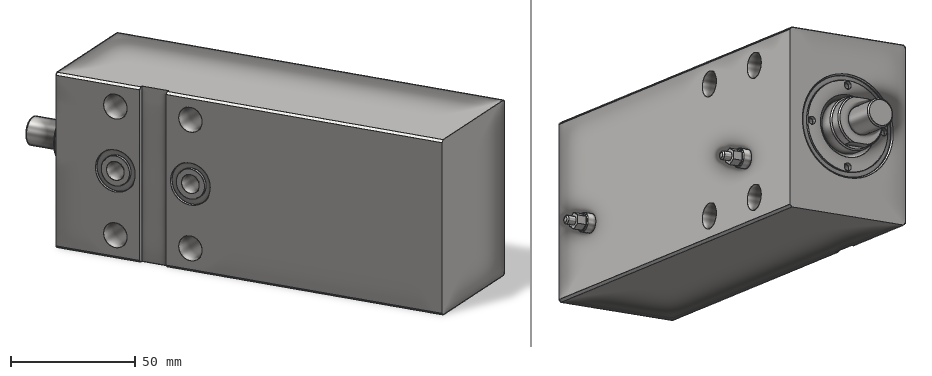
import cadquery as cq
import math


HOUSING_LENGTH = 175.0
HOUSING_DEPTH = 55.0
HOUSING_HEIGHT = 75.0
EDGE_CHAMFER = 1.0
MOUNT_FACE_Y = -HOUSING_DEPTH / 2
SENSOR_FACE_Y = HOUSING_DEPTH / 2

SLOT_CENTER_X = 44.0
SLOT_WIDTH = 12.0
SLOT_DEPTH = 2.0
COLUMN_SPACING = 34.0
BOLT_SPACING_Z = 55.0
BOLT_HOLE_DIAMETER = 10.5
COLUMNS_X = [SLOT_CENTER_X - COLUMN_SPACING / 2, SLOT_CENTER_X + COLUMN_SPACING / 2]

PORT_DIAMETER = 8.0
PORT_DEPTH = 12.0
SEAL_GROOVE_OUTER_DIAMETER = 18.0
SEAL_GROOVE_INNER_DIAMETER = 12.8
SEAL_GROOVE_DEPTH = 1.5

GLAND_RADIUS = 21.0
GLAND_LENGTH = 20.0
GLAND_FACE_RADIUS = 19.0
GLAND_STEP_DEPTH = 1.0
GLAND_SEAT_CHAMFER = 0.5
ROD_LEAD_IN = 1.8
SPANNER_HOLE_COUNT = 4
SPANNER_HOLE_DIAMETER = 3.2
SPANNER_HOLE_DEPTH = 2.0
SPANNER_HOLE_RADIUS = 17.0
DRILL_TIP_ANGLE = 118.0

ROD_RADIUS = 11.2
ROD_SHOULDER_X = -5.0
NECK_RADIUS = 10.5
NECK_END_X = -10.0
NECK_CHAMFER = 0.5
WRENCH_WIDTH = 19.0
STUD_RADIUS = 6.0
STUD_END_X = -25.0
STUD_CHAMFER = 0.5

SENSORS_X = [33.0, 151.0]
SENSOR_Z = -10.2
SENSOR_SECTION_LENGTH = 4.0
SENSOR_BASE_DIAMETER = 8.0
SENSOR_BASE_CHAMFER = 0.5
SENSOR_HEX_WIDTH = 6.0
HEX_SIDES = 6
SENSOR_TIP_DIAMETER = 3.5
SENSOR_TIP_CHAMFER = 0.5


def revolve_about_rod_axis(profile):
    """Turn a closed (x, radius) profile about the X axis."""
    return cq.Workplane("XZ").polyline(profile).close().revolve(360, (0, 0, 0), (1, 0, 0))


def mounting_face_plane():
    """Workplane on the mounting face: local X is X, local Y is Z, negative depths go into the block."""
    return cq.Workplane(cq.Plane((0, MOUNT_FACE_Y, 0), xDir=(1, 0, 0), normal=(0, -1, 0)))


def make_housing():
    block = (
        cq.Workplane("XY")
        .box(HOUSING_LENGTH, HOUSING_DEPTH, HOUSING_HEIGHT)
        .edges("|X")
        .chamfer(EDGE_CHAMFER)
        .translate((HOUSING_LENGTH / 2, 0, 0))
    )

    slot = (
        mounting_face_plane()
        .center(SLOT_CENTER_X, 0)
        .rect(SLOT_WIDTH, HOUSING_HEIGHT)
        .extrude(-SLOT_DEPTH)
    )

    bolt_points = [(x, side * BOLT_SPACING_Z / 2) for x in COLUMNS_X for side in (-1, 1)]
    bolt_holes = (
        mounting_face_plane()
        .pushPoints(bolt_points)
        .circle(BOLT_HOLE_DIAMETER / 2)
        .extrude(-HOUSING_DEPTH)
    )

    port_points = [(x, 0) for x in COLUMNS_X]
    ports = mounting_face_plane().pushPoints(port_points).circle(PORT_DIAMETER / 2).extrude(-PORT_DEPTH)
    seal_grooves = (
        mounting_face_plane()
        .pushPoints(port_points)
        .circle(SEAL_GROOVE_OUTER_DIAMETER / 2)
        .circle(SEAL_GROOVE_INNER_DIAMETER / 2)
        .extrude(-SEAL_GROOVE_DEPTH)
    )

    gland_seat = revolve_about_rod_axis(
        [
            (0, 0),
            (0, GLAND_RADIUS + GLAND_SEAT_CHAMFER),
            (GLAND_SEAT_CHAMFER, GLAND_RADIUS),
            (GLAND_LENGTH, GLAND_RADIUS),
            (GLAND_LENGTH, 0),
        ]
    )
    return block.cut(slot).cut(bolt_holes).cut(ports).cut(seal_grooves).cut(gland_seat)


def make_spanner_hole():
    """Drilled hole with a conical bottom, straight above the rod axis."""
    hole_radius = SPANNER_HOLE_DIAMETER / 2
    tip_x = SPANNER_HOLE_DEPTH + hole_radius / math.tan(math.radians(DRILL_TIP_ANGLE / 2))
    profile = [(0, 0), (0, hole_radius), (SPANNER_HOLE_DEPTH, hole_radius), (tip_x, 0)]
    return revolve_about_rod_axis(profile).translate((0, 0, SPANNER_HOLE_RADIUS))


def make_gland():
    gland = revolve_about_rod_axis(
        [
            (0, ROD_RADIUS + ROD_LEAD_IN),
            (0, GLAND_FACE_RADIUS),
            (GLAND_STEP_DEPTH, GLAND_FACE_RADIUS),
            (GLAND_STEP_DEPTH, GLAND_RADIUS),
            (GLAND_LENGTH, GLAND_RADIUS),
            (GLAND_LENGTH, ROD_RADIUS),
            (ROD_LEAD_IN, ROD_RADIUS),
        ]
    )
    for index in range(SPANNER_HOLE_COUNT):
        angle = index * 360 / SPANNER_HOLE_COUNT
        gland = gland.cut(make_spanner_hole().rotate((0, 0, 0), (1, 0, 0), angle))
    return gland


def make_rod():
    shoulder_chamfer = ROD_RADIUS - NECK_RADIUS
    rod = revolve_about_rod_axis(
        [
            (GLAND_LENGTH, 0),
            (GLAND_LENGTH, ROD_RADIUS),
            (ROD_SHOULDER_X + shoulder_chamfer, ROD_RADIUS),
            (ROD_SHOULDER_X, NECK_RADIUS),
            (NECK_END_X + NECK_CHAMFER, NECK_RADIUS),
            (NECK_END_X, NECK_RADIUS - NECK_CHAMFER),
            (NECK_END_X, STUD_RADIUS),
            (STUD_END_X + STUD_CHAMFER, STUD_RADIUS),
            (STUD_END_X, STUD_RADIUS - STUD_CHAMFER),
            (STUD_END_X, 0),
        ]
    )
    neck_length = ROD_SHOULDER_X - NECK_END_X
    flat_cutters = (
        cq.Workplane("YZ", origin=(NECK_END_X, 0, 0))
        .rect(2 * ROD_RADIUS, 2 * ROD_RADIUS)
        .rect(2 * ROD_RADIUS, WRENCH_WIDTH)
        .extrude(neck_length)
    )
    return rod.cut(flat_cutters)


def make_sensor(x):
    """Sensor standing on the rear face: round base, hexagon, round tip."""
    base = (
        cq.Workplane("XZ", origin=(x, SENSOR_FACE_Y, SENSOR_Z))
        .circle(SENSOR_BASE_DIAMETER / 2)
        .extrude(-SENSOR_SECTION_LENGTH)
        .faces(">Y")
        .chamfer(SENSOR_BASE_CHAMFER)
    )
    hex_corner_diameter = SENSOR_HEX_WIDTH / math.cos(math.pi / HEX_SIDES)
    hexagon = (
        cq.Workplane("XZ", origin=(x, SENSOR_FACE_Y + SENSOR_SECTION_LENGTH, SENSOR_Z))
        .transformed(rotate=(0, 0, 180 / HEX_SIDES))
        .polygon(HEX_SIDES, hex_corner_diameter)
        .extrude(-SENSOR_SECTION_LENGTH)
    )
    tip = (
        cq.Workplane("XZ", origin=(x, SENSOR_FACE_Y + 2 * SENSOR_SECTION_LENGTH, SENSOR_Z))
        .circle(SENSOR_TIP_DIAMETER / 2)
        .extrude(-SENSOR_SECTION_LENGTH)
        .faces(">Y")
        .chamfer(SENSOR_TIP_CHAMFER)
    )
    return base.union(hexagon).union(tip)


housing = make_housing()
gland = make_gland()
rod = make_rod()
sensors = [make_sensor(x) for x in SENSORS_X]

result = cq.Compound.makeCompound(
    [housing.val(), gland.val(), rod.val(), *[sensor.val() for sensor in sensors]]
)